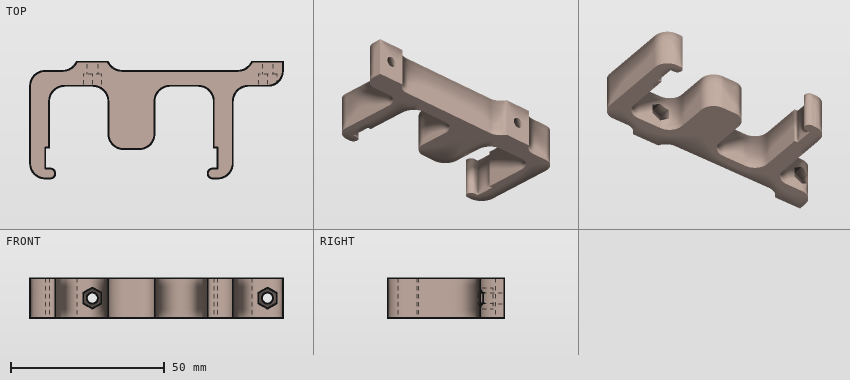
import cadquery as cq
import math

length = 82.3
depth = 38.0
height = 13.0

body_width = 66.0
pad_height = 3.0
web_thickness = 4.9
arm_width = 6.25
post_width = 15.1
post_length = 20.6
corner_radius = 5.0

recess_depth = 1.2
recess_length = 6.75
hook_thickness = 3.3
hook_reach = 8.2

pad_width = 10.1
hole_spacing = 56.95
screw_diameter = 3.5
nut_across_flats = 5.9
nut_depth = 4.0

web_back = depth - pad_height
web_front = web_back - web_thickness
body_center = body_width / 2
right_pad_x = length - pad_width / 2
left_pad_x = right_pad_x - hole_spacing


def block(x_min, x_max, y_min, y_max):
    """Full-height block between the given X and Y limits."""
    solid = cq.Workplane("XY").box(x_max - x_min, y_max - y_min, height, centered=False)
    return solid.translate((x_min, y_min, 0))


def round_corners(solid, corners):
    """Round the vertical edges standing at the given XY corners."""
    tolerance = 0.01
    for x, y in corners:
        edge_box = cq.selectors.BoxSelector(
            (x - tolerance, y - tolerance, -tolerance),
            (x + tolerance, y + tolerance, height + tolerance),
        )
        solid = solid.edges(edge_box).fillet(corner_radius)
    return solid


def make_left_arm():
    """Arm with a shallow inner recess and a round-nosed hook."""
    nose_radius = hook_thickness / 2
    nose_center = hook_reach - nose_radius
    arm = block(0, arm_width, 0, web_back)
    recess = block(arm_width - recess_depth, arm_width, hook_thickness, hook_thickness + recess_length)
    hook = block(arm_width - recess_depth, nose_center, 0, hook_thickness)
    nose = cq.Workplane("XY").center(nose_center, nose_radius).circle(nose_radius).extrude(height)
    return round_corners(arm.cut(recess), [(0, 0), (0, web_back)]).union(hook).union(nose)


def make_right_arm():
    """Mirrored arm, cut square where it joins the web."""
    mirrored = make_left_arm().mirror("YZ").translate((body_width, 0, 0))
    return mirrored.intersect(block(0, body_width, 0, web_front))


def make_pad_flare(x, side):
    """Concave flare from the web up to a pad edge; side is -1 for left, +1 for right."""
    drop = corner_radius - pad_height
    reach = math.sqrt(corner_radius**2 - drop**2)
    sweep_middle = math.asin(reach / corner_radius) / 2
    tangent_x = x + side * reach
    middle = (
        tangent_x - side * corner_radius * math.sin(sweep_middle),
        web_back + corner_radius * (1 - math.cos(sweep_middle)),
    )
    return (
        cq.Workplane("XY")
        .moveTo(x, web_back)
        .lineTo(x, depth)
        .threePointArc(middle, (tangent_x, web_back))
        .close()
        .extrude(height)
    )


def make_fastener_cutter(x):
    """Screw hole through the web and pad, with a hexagonal nut pocket in the web front."""
    nut_corners = 2 * nut_across_flats / math.sqrt(3)
    plane = cq.Plane(origin=(x, web_front, height / 2), xDir=(0, 0, 1), normal=(0, 1, 0))
    screw = cq.Workplane(plane).circle(screw_diameter / 2).extrude(depth - web_front)
    nut = cq.Workplane(plane).workplane(offset=-corner_radius)
    nut = nut.polygon(6, nut_corners).extrude(corner_radius + nut_depth)
    return screw.union(nut)


post_left = body_center - post_width / 2
post_right = body_center + post_width / 2
post_end = web_front - post_length
web = block(corner_radius, length, web_front, web_back)
post = block(post_left, post_right, post_end, web_front)
body = web.union(make_left_arm()).union(make_right_arm()).union(post)

for pad_x in (left_pad_x, right_pad_x):
    body = body.union(block(pad_x - pad_width / 2, pad_x + pad_width / 2, web_back, depth))
    body = body.union(make_pad_flare(pad_x - pad_width / 2, -1))
body = body.union(make_pad_flare(left_pad_x + pad_width / 2, 1)).clean()

body = round_corners(
    body,
    [
        (post_left, post_end),
        (post_right, post_end),
        (length, web_front),
        (arm_width, web_front),
        (post_left, web_front),
        (post_right, web_front),
        (body_width - arm_width, web_front),
        (body_width, web_front),
    ],
)

for pad_x in (left_pad_x, right_pad_x):
    body = body.cut(make_fastener_cutter(pad_x))

result = body